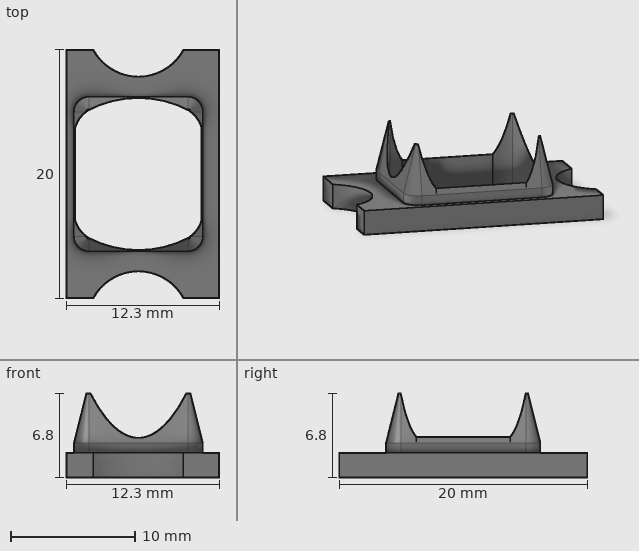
import cadquery as cq
import math

plate_length_x = 12.31
plate_length_y = 19.99
plate_thickness = 2.0

collar_center_x = -0.35

notch_half_width = 3.63
notch_depth = 2.15
notch_radius = (notch_half_width**2 + notch_depth**2) / (2 * notch_depth)

collar_length_x = 10.38
collar_length_y = 12.44
collar_corner_radius = 1.2
foot_height = 0.8
total_height = 6.8
taper_height = total_height - plate_thickness - foot_height
taper_inset = 1.0
taper_angle = math.degrees(math.atan2(taper_inset, taper_height))

opening_half_x = 5.07
opening_half_y = 6.115
side_half_length = 3.77
corner_middle = (4.78, 4.4)
bow_end = (4.06, 5.12)


def make_plate():
    """Flat plate with a round notch in the middle of each short end."""
    plate = cq.Workplane("XY").box(
        plate_length_x, plate_length_y, plate_thickness, centered=(True, True, False)
    )
    notch_center_y = plate_length_y / 2 - notch_depth + notch_radius
    notches = (
        cq.Workplane("XY")
        .pushPoints([(collar_center_x, side * notch_center_y) for side in (-1, 1)])
        .circle(notch_radius)
        .extrude(plate_thickness)
    )
    return plate.cut(notches)


def collar_outline(base_z):
    """Rounded rectangle of the collar at the given height."""
    rectangle = cq.Sketch().rect(collar_length_x, collar_length_y)
    rounded = rectangle.vertices().fillet(collar_corner_radius)
    return cq.Workplane("XY", origin=(collar_center_x, 0, base_z)).placeSketch(rounded)


def make_collar():
    """Solid collar: an upright foot carrying a tapered block."""
    foot = collar_outline(plate_thickness).extrude(foot_height)
    tapered_block = collar_outline(plate_thickness + foot_height).extrude(taper_height, taper=taper_angle)
    return foot.union(tapered_block)


def make_opening():
    """Upright cutter; where it breaks through the tapered walls it leaves four spikes."""
    corner_x, corner_y = corner_middle
    bow_x, bow_y = bow_end
    return (
        cq.Workplane("XY", origin=(collar_center_x, 0, 0))
        .moveTo(opening_half_x, -side_half_length)
        .lineTo(opening_half_x, side_half_length)
        .threePointArc((corner_x, corner_y), (bow_x, bow_y))
        .threePointArc((0, opening_half_y), (-bow_x, bow_y))
        .threePointArc((-corner_x, corner_y), (-opening_half_x, side_half_length))
        .lineTo(-opening_half_x, -side_half_length)
        .threePointArc((-corner_x, -corner_y), (-bow_x, -bow_y))
        .threePointArc((0, -opening_half_y), (bow_x, -bow_y))
        .threePointArc((corner_x, -corner_y), (opening_half_x, -side_half_length))
        .close()
        .extrude(total_height)
    )


result = make_plate().union(make_collar()).cut(make_opening())